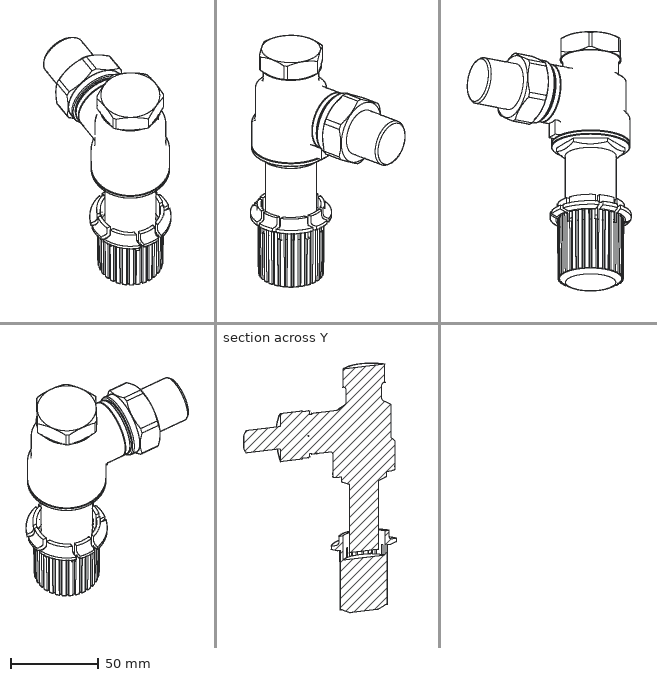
import cadquery as cq
import math


OVERALL_LENGTH = 97.74
OVERALL_WIDTH = 46.68
OVERALL_HEIGHT = 147.0

ON_SURFACE_TOLERANCE = 0.01
ARC_MIDDLE = 1 - math.sqrt(0.5)
CHAMFER_SLOPE = math.tan(math.radians(30))

CAP_TOP_Z = 36.8
CAP_BOTTOM_Z = 25.6
CAP_FLATS = 34.0
CAP_CORNER_HALF = 19.1
CAP_FACE_RADIUS = 16.9
CAP_UNDER_RADIUS = 16.8

NECK_RADIUS = 16.05
NECK_TOP_Z = 24.1
NECK_BOTTOM_Z = 16.3
SHOULDER_ANGLE = 54.5
SHOULDER_INNER_FILLET = 2.1
BODY_RADIUS = 20.4
BODY_TOP_Z = 11.8
BODY_BOTTOM_Z = -7.1
SKIRT_RADIUS = 22.6
SKIRT_TOP_Z = -11.0
SKIRT_ANGLE = 45.0
SKIRT_INNER_FILLET = 1.84
SKIRT_GROOVE_Z = -25.3
SKIRT_GROOVE_HEIGHT = 0.5
SKIRT_GROOVE_DEPTH = 0.2
SKIRT_EDGE_Z = -27.4
SKIRT_EDGE_CHAMFER = 0.4
SKIRT_BOTTOM_Z = -28.2

GLAND_FLATS = 33.9
GLAND_BOTTOM_Z = -33.1
STEM_RADIUS = 14.7
STEM_BOTTOM_Z = -74.2
SPINDLE_RADIUS = 4.0

COLLAR_TOP_Z = -63.4
COLLAR_RADIUS = 19.4
COLLAR_BORE_RADIUS = 17.3
FLANGE_RADIUS = OVERALL_WIDTH / 2
FLANGE_TOP_Z = -68.7
FLANGE_FILLET = 1.6
FLANGE_EDGE_Z = -70.9
FLANGE_BOTTOM_Z = -72.2
FLANGE_UNDER_RADIUS = 20.0
RIB_TOP_RADIUS = 19.06
RIB_BOTTOM_RADIUS = 18.75
RIB_BOTTOM_Z = -107.9
RIB_COUNT = 30
RIB_GAP_MOUTH = 1.9
RIB_GAP_FLOOR = 0.9
CORE_RADIUS = 17.9
BASE_RADIUS = 14.45
BASE_Z = CAP_TOP_Z - OVERALL_HEIGHT
SLOT_OFFSET = 6.0
SLOT_WIDTH = 2.2
SLOT_BOTTOM_Z = -77.9

TAIL_END_X = FLANGE_RADIUS - OVERALL_LENGTH
TAIL_RADIUS = 13.38
TAIL_CHAMFER_LENGTH = 1.3
TAIL_CHAMFER_DEPTH = 1.0
NUT_START_X = -51.9
NUT_END_X = -38.1
NUT_FLATS = 36.7
NUT_CORNER_HALF = 20.35
NUT_FACE_RADIUS = 18.05
NUT_COLLAR_RADIUS = 18.25
NUT_COLLAR_EDGE_X = -34.4
NUT_COLLAR_END_X = -33.5
NUT_COLLAR_END_RADIUS = 17.9
SEAT_RADIUS = 16.5
SEAT_END_X = -32.4
BRANCH_RADIUS = 16.9
BRANCH_GROOVE_X = -29.5
BRANCH_GROOVE_WIDTH = 0.4
BRANCH_GROOVE_DEPTH = 0.15
BRANCH_FILLET = 1.4

STOP_X = -25.4
STOP_WIDTH = 7.0
STOP_FILLET = 1.2


def revolve_about_z(profile):
    return profile.close().revolve(360, (0, 0, 0), (0, 1, 0))


def revolve_about_x(profile):
    return profile.close().revolve(360, (0, 0, 0), (1, 0, 0))


def hexagon(plane, across_flats, length, turn):
    """Hexagonal prism from the plane origin; one corner lies on the local x axis when turn is 0."""
    corners = across_flats / math.cos(math.pi / 6)
    return plane.transformed(rotate=(0, 0, turn)).polygon(6, corners).extrude(length)


def chamfer_drop(across_flats, face_radius):
    """Reach of a chamfer that starts at face_radius, along the axis, at the hexagon corners."""
    return (across_flats / math.sqrt(3) - face_radius) * CHAMFER_SLOPE


def make_cap_hexagon():
    length = CAP_TOP_Z - CAP_BOTTOM_Z
    plane = cq.Workplane("XY", origin=(0, 0, CAP_BOTTOM_Z))
    prism = hexagon(plane, CAP_FLATS, length, 0)
    corner = CAP_FLATS / math.sqrt(3)
    for angle in (60, 120, 240, 300):
        trim = (
            cq.Workplane("XY", origin=(0, 0, CAP_BOTTOM_Z))
            .rect(2 * (corner - CAP_CORNER_HALF), corner)
            .extrude(length)
            .translate((corner, 0, 0))
            .rotate((0, 0, 0), (0, 0, 1), angle)
        )
        prism = prism.cut(trim)
    top_drop = chamfer_drop(CAP_FLATS, CAP_FACE_RADIUS)
    bottom_drop = chamfer_drop(CAP_FLATS, CAP_UNDER_RADIUS)
    turned = revolve_about_z(
        cq.Workplane("XZ")
        .moveTo(0, CAP_BOTTOM_Z)
        .lineTo(CAP_UNDER_RADIUS, CAP_BOTTOM_Z)
        .lineTo(corner, CAP_BOTTOM_Z + bottom_drop)
        .lineTo(corner, CAP_TOP_Z - top_drop)
        .lineTo(CAP_FACE_RADIUS, CAP_TOP_Z)
        .lineTo(0, CAP_TOP_Z)
    )
    return prism.intersect(turned)


def widen(profile, start, end, cone_angle, inner_fillet):
    """Step down and outwards to a wider cylinder: fillet, cone and rounded edge, all tangent."""
    angle = math.radians(cone_angle)
    drop = start[1] - end[1]
    growth = end[0] - start[0]
    both_radii = (drop * math.sin(angle) - growth * math.cos(angle)) / (1 - math.cos(angle))
    outer_round = both_radii - inner_fillet

    def arc_reach(radius):
        return radius * (1 - math.cos(angle)), radius * math.sin(angle)

    inner_out, inner_down = arc_reach(inner_fillet)
    outer_out, outer_down = arc_reach(outer_round)
    return (
        profile
        .tangentArcPoint((start[0] + inner_out, start[1] - inner_down), relative=False)
        .lineTo(end[0] - outer_out, end[1] + outer_down)
        .tangentArcPoint(end, relative=False)
    )


def make_body():
    groove_floor = SKIRT_RADIUS - SKIRT_GROOVE_DEPTH
    groove_bottom_z = SKIRT_GROOVE_Z - SKIRT_GROOVE_HEIGHT
    skirt_edge_radius = SKIRT_RADIUS - SKIRT_EDGE_CHAMFER
    neck_fillet = CAP_BOTTOM_Z - NECK_TOP_Z
    middle = neck_fillet * ARC_MIDDLE
    top_radius = NECK_RADIUS + neck_fillet
    profile = (
        cq.Workplane("XZ")
        .moveTo(0, CAP_BOTTOM_Z)
        .lineTo(top_radius, CAP_BOTTOM_Z)
        .threePointArc((NECK_RADIUS + middle, CAP_BOTTOM_Z - middle), (NECK_RADIUS, NECK_TOP_Z))
        .lineTo(NECK_RADIUS, NECK_BOTTOM_Z)
    )
    profile = widen(profile, (NECK_RADIUS, NECK_BOTTOM_Z), (BODY_RADIUS, BODY_TOP_Z),
                    SHOULDER_ANGLE, SHOULDER_INNER_FILLET)
    profile = profile.lineTo(BODY_RADIUS, BODY_BOTTOM_Z)
    profile = widen(profile, (BODY_RADIUS, BODY_BOTTOM_Z), (SKIRT_RADIUS, SKIRT_TOP_Z),
                    SKIRT_ANGLE, SKIRT_INNER_FILLET)
    return revolve_about_z(
        profile
        .lineTo(SKIRT_RADIUS, SKIRT_GROOVE_Z)
        .lineTo(groove_floor, SKIRT_GROOVE_Z)
        .lineTo(groove_floor, groove_bottom_z)
        .lineTo(SKIRT_RADIUS, groove_bottom_z)
        .lineTo(SKIRT_RADIUS, SKIRT_EDGE_Z)
        .lineTo(skirt_edge_radius, SKIRT_EDGE_Z - SKIRT_EDGE_CHAMFER)
        .lineTo(BODY_RADIUS, SKIRT_BOTTOM_Z)
        .lineTo(0, SKIRT_BOTTOM_Z)
    )


def make_branch():
    groove_floor = BRANCH_RADIUS - BRANCH_GROOVE_DEPTH
    groove_end_x = BRANCH_GROOVE_X + BRANCH_GROOVE_WIDTH
    return revolve_about_x(
        cq.Workplane("XZ")
        .lineTo(SEAT_END_X, 0)
        .lineTo(SEAT_END_X, BRANCH_RADIUS)
        .lineTo(BRANCH_GROOVE_X, BRANCH_RADIUS)
        .lineTo(BRANCH_GROOVE_X, groove_floor)
        .lineTo(groove_end_x, groove_floor)
        .lineTo(groove_end_x, BRANCH_RADIUS)
        .lineTo(0, BRANCH_RADIUS)
    )


def make_stop():
    """Stop rib filling the corner between branch and skirt, blended into the skirt."""
    half = STOP_WIDTH / 2
    foot = half + STOP_FILLET
    centre_x = -math.sqrt((SKIRT_RADIUS + STOP_FILLET) ** 2 - foot ** 2)
    touch = SKIRT_RADIUS / (SKIRT_RADIUS + STOP_FILLET)
    inner_x = -BODY_RADIUS + STOP_FILLET
    profile = (
        cq.Workplane("XY", origin=(0, 0, SKIRT_GROOVE_Z))
        .moveTo(STOP_X, -half)
        .lineTo(centre_x, -half)
        .radiusArc((centre_x * touch, -foot * touch), STOP_FILLET)
        .lineTo(inner_x, -foot * touch)
        .lineTo(inner_x, foot * touch)
        .lineTo(centre_x * touch, foot * touch)
        .radiusArc((centre_x, half), STOP_FILLET)
        .lineTo(STOP_X, half)
        .close()
    )
    return profile.extrude(-SKIRT_GROOVE_Z - BRANCH_RADIUS / 2)


def is_junction(edge):
    """True for the edges where the branch surface runs into the column."""
    on_branch = all(
        abs(math.hypot(point.y, point.z) - BRANCH_RADIUS) < ON_SURFACE_TOLERANCE
        for point in (edge.positionAt(fraction) for fraction in (0, 0.3, 0.7, 1))
    )
    return on_branch and edge.geomType() != "LINE" and edge.Center().x > -SKIRT_RADIUS


def make_valve_body():
    body = make_body().union(make_branch())
    junction = [edge for edge in body.edges().vals() if is_junction(edge)]
    blended = body.newObject(junction).fillet(BRANCH_FILLET)
    return blended.union(make_stop())


def make_gland():
    plane = cq.Workplane("XY", origin=(0, 0, GLAND_BOTTOM_Z))
    prism = hexagon(plane, GLAND_FLATS, SKIRT_BOTTOM_Z - GLAND_BOTTOM_Z, 30)
    corner = GLAND_FLATS / math.sqrt(3)
    drop = chamfer_drop(GLAND_FLATS, STEM_RADIUS)
    turned = revolve_about_z(
        cq.Workplane("XZ")
        .moveTo(0, GLAND_BOTTOM_Z)
        .lineTo(STEM_RADIUS, GLAND_BOTTOM_Z)
        .lineTo(corner, GLAND_BOTTOM_Z + drop)
        .lineTo(corner, SKIRT_BOTTOM_Z)
        .lineTo(0, SKIRT_BOTTOM_Z)
    )
    return prism.intersect(turned)


def make_stem():
    return revolve_about_z(
        cq.Workplane("XZ")
        .moveTo(0, SKIRT_BOTTOM_Z)
        .lineTo(STEM_RADIUS, SKIRT_BOTTOM_Z)
        .lineTo(STEM_RADIUS, STEM_BOTTOM_Z)
        .lineTo(SPINDLE_RADIUS, STEM_BOTTOM_Z)
        .lineTo(SPINDLE_RADIUS, SLOT_BOTTOM_Z)
        .lineTo(0, SLOT_BOTTOM_Z)
    )


def make_handle_blank():
    fillet_middle = FLANGE_FILLET * ARC_MIDDLE
    return revolve_about_z(
        cq.Workplane("XZ")
        .moveTo(0, SLOT_BOTTOM_Z)
        .lineTo(COLLAR_BORE_RADIUS, SLOT_BOTTOM_Z)
        .lineTo(COLLAR_BORE_RADIUS, COLLAR_TOP_Z)
        .lineTo(COLLAR_RADIUS, COLLAR_TOP_Z)
        .lineTo(COLLAR_RADIUS, FLANGE_TOP_Z + FLANGE_FILLET)
        .threePointArc(
            (COLLAR_RADIUS + fillet_middle, FLANGE_TOP_Z + fillet_middle),
            (COLLAR_RADIUS + FLANGE_FILLET, FLANGE_TOP_Z),
        )
        .lineTo(FLANGE_RADIUS, FLANGE_TOP_Z)
        .lineTo(FLANGE_RADIUS, FLANGE_EDGE_Z)
        .lineTo(FLANGE_UNDER_RADIUS, FLANGE_BOTTOM_Z)
        .lineTo(RIB_TOP_RADIUS, FLANGE_BOTTOM_Z)
        .lineTo(RIB_BOTTOM_RADIUS, RIB_BOTTOM_Z)
        .lineTo(CORE_RADIUS, RIB_BOTTOM_Z)
        .lineTo(BASE_RADIUS, BASE_Z)
        .lineTo(0, BASE_Z)
    )


def make_rib_gap():
    """One gap between ribs, on the +X axis: narrow at the core and wide at the rib tips."""
    return (
        cq.Workplane("XY", origin=(0, 0, RIB_BOTTOM_Z))
        .moveTo(CORE_RADIUS, -RIB_GAP_FLOOR / 2)
        .lineTo(RIB_TOP_RADIUS, -RIB_GAP_MOUTH / 2)
        .lineTo(RIB_TOP_RADIUS, RIB_GAP_MOUTH / 2)
        .lineTo(CORE_RADIUS, RIB_GAP_FLOOR / 2)
        .close()
        .extrude(FLANGE_BOTTOM_Z - RIB_BOTTOM_Z)
    )


def cut_rib_gaps(handle):
    """A gap faces +X and -X; a rib faces +Y and -Y."""
    gap = make_rib_gap()
    for index in range(RIB_COUNT):
        handle = handle.cut(gap.rotate((0, 0, 0), (0, 0, 1), index * 360 / RIB_COUNT))
    return handle


def make_handle():
    handle = cut_rib_gaps(make_handle_blank())
    slot_length = 2 * FLANGE_RADIUS + SLOT_WIDTH
    slot_depth = COLLAR_TOP_Z - SLOT_BOTTOM_Z
    floor = cq.Workplane("XY", origin=(0, 0, SLOT_BOTTOM_Z))
    for offset in (-SLOT_OFFSET, SLOT_OFFSET):
        slot_along_y = floor.center(offset, 0).rect(SLOT_WIDTH, slot_length).extrude(slot_depth)
        slot_along_x = floor.center(0, offset).rect(slot_length, SLOT_WIDTH).extrude(slot_depth)
        handle = handle.cut(slot_along_y).cut(slot_along_x)
    return handle


def make_tail():
    return revolve_about_x(
        cq.Workplane("XZ")
        .moveTo(TAIL_END_X, 0)
        .lineTo(TAIL_END_X, TAIL_RADIUS - TAIL_CHAMFER_DEPTH)
        .lineTo(TAIL_END_X + TAIL_CHAMFER_LENGTH, TAIL_RADIUS)
        .lineTo(NUT_END_X, TAIL_RADIUS)
        .lineTo(NUT_END_X, NUT_COLLAR_RADIUS)
        .lineTo(NUT_COLLAR_EDGE_X, NUT_COLLAR_RADIUS)
        .lineTo(NUT_COLLAR_END_X, NUT_COLLAR_END_RADIUS)
        .lineTo(NUT_COLLAR_END_X, SEAT_RADIUS)
        .lineTo(SEAT_END_X, SEAT_RADIUS)
        .lineTo(SEAT_END_X, 0)
    )


def make_nut():
    """Union nut with a corner pointing up and all six corners cut to small flats."""
    length = NUT_END_X - NUT_START_X
    plane = cq.Workplane("YZ", origin=(NUT_START_X, 0, 0))
    prism = hexagon(plane, NUT_FLATS, length, 30)
    prism = prism.intersect(hexagon(plane, 2 * NUT_CORNER_HALF, length, 0))
    corner = NUT_FLATS / math.sqrt(3)
    drop = chamfer_drop(NUT_FLATS, NUT_FACE_RADIUS)
    turned = revolve_about_x(
        cq.Workplane("XZ")
        .moveTo(NUT_START_X, 0)
        .lineTo(NUT_START_X, NUT_FACE_RADIUS)
        .lineTo(NUT_START_X + drop, corner)
        .lineTo(NUT_END_X - drop, corner)
        .lineTo(NUT_END_X, NUT_FACE_RADIUS)
        .lineTo(NUT_END_X, 0)
    )
    return prism.intersect(turned)


result = make_valve_body()
for piece in (make_cap_hexagon(), make_gland(), make_stem(), make_handle(), make_tail(), make_nut()):
    result = result.union(piece)